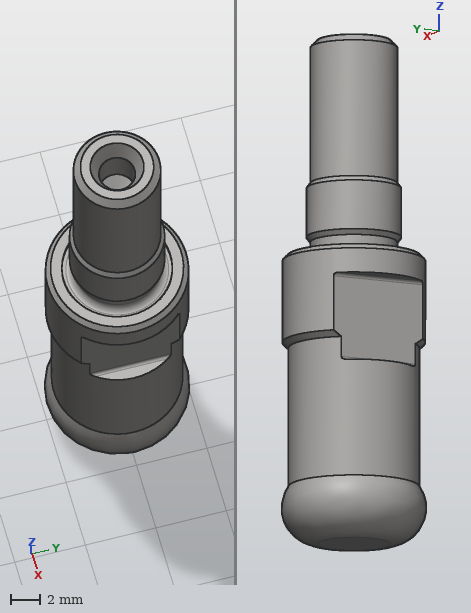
import cadquery as cq
import math

total_height = 35.0
barrel_radius = 9.0 / 2
shoulder_radius = 4.9
shoulder_bottom = 14.0
housing_top = 20.0
shoulder_edge_chamfer = 0.35
tip_radius = 4.97
tip_round = 2.5
flat_bottom = 12.0
flat_top = 18.0
across_flats = 6.9
flat_corner_fillet = 0.2

foot_radius = 3.78
foot_sink = 0.2
foot_thickness = 0.77
foot_top = housing_top - foot_sink
recess_bottom = foot_top - foot_thickness

shank_radius = 6.0 / 2
shank_chamfer = 0.5
foot_fillet = 0.52
collar_radius = 3.25
collar_bottom = 20.95
collar_top = 25.05
collar_chamfer = 0.35
end_hole_radius = 2.5 / 2
countersink_radius = 3.67 / 2
countersink_angle = 60.0
end_hole_depth = 3.5
drill_point_angle = 118.0


def revolve_profile(profile):
    """Turn a closed radius-height outline about the Z axis."""
    return profile.close().revolve(360, (0, 0, 0), (0, 1, 0))


def make_turned_housing():
    round_center = tip_radius - tip_round
    barrel_offset = barrel_radius - round_center
    barrel_start = tip_round + math.sqrt(tip_round**2 - barrel_offset**2)
    step_chamfer = shoulder_radius - barrel_radius
    profile = (
        cq.Workplane("XZ")
        .lineTo(round_center, 0)
        .threePointArc((tip_radius, tip_round), (barrel_radius, barrel_start))
        .lineTo(barrel_radius, shoulder_bottom - step_chamfer)
        .lineTo(shoulder_radius, shoulder_bottom)
        .lineTo(shoulder_radius, housing_top - shoulder_edge_chamfer)
        .lineTo(shoulder_radius - shoulder_edge_chamfer, housing_top)
        .lineTo(foot_radius, housing_top)
        .lineTo(foot_radius, recess_bottom)
        .lineTo(0, recess_bottom)
    )
    return revolve_profile(profile)


def make_flat_cutter(side):
    """Block that cuts one wrench flat on the +X (side=1) or -X (side=-1) face."""
    cut_depth = shoulder_radius
    return (
        cq.Workplane("XY")
        .box(cut_depth, 2 * tip_radius, flat_top - flat_bottom)
        .edges("<X and |Y" if side > 0 else ">X and |Y")
        .fillet(flat_corner_fillet)
        .translate((side * (across_flats + cut_depth) / 2, 0, (flat_top + flat_bottom) / 2))
    )


def make_housing():
    housing = make_turned_housing()
    for side in (-1, 1):
        housing = housing.cut(make_flat_cutter(side))
    return housing


def make_pin():
    fillet_middle = foot_fillet * (1 - math.sqrt(0.5))
    countersink_half_angle = math.radians(countersink_angle / 2)
    countersink_depth = (countersink_radius - end_hole_radius) / math.tan(countersink_half_angle)
    hole_bottom = total_height - end_hole_depth
    drill_tip = hole_bottom - end_hole_radius / math.tan(math.radians(drill_point_angle / 2))
    profile = (
        cq.Workplane("XZ")
        .moveTo(0, recess_bottom)
        .lineTo(foot_radius, recess_bottom)
        .lineTo(foot_radius, foot_top)
        .lineTo(shank_radius + foot_fillet, foot_top)
        .threePointArc(
            (shank_radius + fillet_middle, foot_top + fillet_middle),
            (shank_radius, foot_top + foot_fillet),
        )
        .lineTo(shank_radius, collar_bottom)
        .lineTo(collar_radius, collar_bottom + collar_chamfer)
        .lineTo(collar_radius, collar_top - collar_chamfer)
        .lineTo(shank_radius, collar_top)
        .lineTo(shank_radius, total_height - shank_chamfer)
        .lineTo(shank_radius - shank_chamfer, total_height)
        .lineTo(countersink_radius, total_height)
        .lineTo(end_hole_radius, total_height - countersink_depth)
        .lineTo(end_hole_radius, hole_bottom)
        .lineTo(0, drill_tip)
    )
    return revolve_profile(profile)


housing = make_housing()
pin = make_pin()
result = cq.Compound.makeCompound([housing.val(), pin.val()])